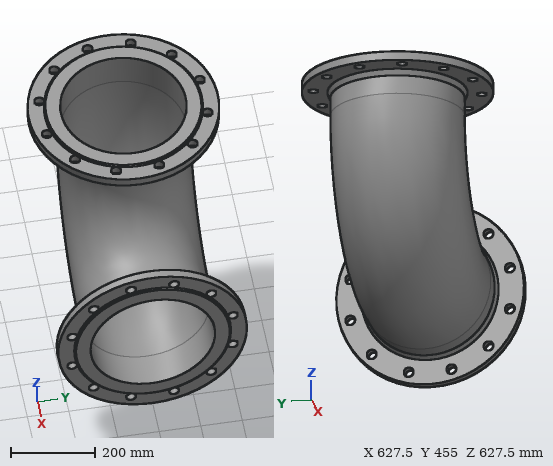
import cadquery as cq

overall_length = 627.5
flange_diameter = 455.0
flange_thickness = 22.0
raised_face_diameter = 370.0
raised_face_height = 4.0
raised_face_base_diameter = 378.0
pipe_outer_diameter = 319.5
pipe_inner_diameter = 300.0
collar_diameter = 332.5
collar_length = 14.5
straight_length = 85.5
bolt_circle_diameter = 400.5
bolt_hole_diameter = 23.0
bolt_count = 12

face_distance = overall_length - flange_diameter / 2
bend_radius = face_distance - straight_length


def flanged_end():
    """Solid end along +Z, from the start of the bend up to the sealing face."""
    pipe_radius = pipe_outer_diameter / 2
    collar_radius = collar_diameter / 2
    flange_radius = flange_diameter / 2
    raised_radius = raised_face_diameter / 2
    raised_base_radius = raised_face_base_diameter / 2
    flange_front = face_distance - raised_face_height
    flange_back = flange_front - flange_thickness
    body = (
        cq.Workplane("XZ")
        .moveTo(0, bend_radius)
        .lineTo(pipe_radius, bend_radius)
        .lineTo(pipe_radius, flange_back - collar_length)
        .lineTo(collar_radius, flange_back)
        .lineTo(flange_radius, flange_back)
        .lineTo(flange_radius, flange_front)
        .lineTo(raised_base_radius, flange_front)
        .lineTo(raised_radius, face_distance)
        .lineTo(0, face_distance)
        .close()
        .revolve(360, (0, 0, 0), (0, 1, 0))
    )
    holes = (
        cq.Workplane("XY")
        .workplane(offset=flange_back)
        .polarArray(bolt_circle_diameter / 2, 180 / bolt_count, 360, bolt_count)
        .circle(bolt_hole_diameter / 2)
        .extrude(flange_thickness)
    )
    bore = (
        cq.Workplane("XY")
        .workplane(offset=bend_radius)
        .circle(pipe_inner_diameter / 2)
        .extrude(straight_length)
    )
    return body.cut(holes).cut(bore)


def bend():
    """Quarter-turn pipe joining the vertical end to the horizontal end."""
    return (
        cq.Workplane("XY")
        .workplane(offset=bend_radius)
        .circle(pipe_outer_diameter / 2)
        .circle(pipe_inner_diameter / 2)
        .revolve(90, (bend_radius, 0, 0), (bend_radius, -1, 0))
    )


top_end = flanged_end()
side_end = top_end.rotate((0, 0, 0), (0, 1, 0), 90)
result = bend().union(top_end).union(side_end)